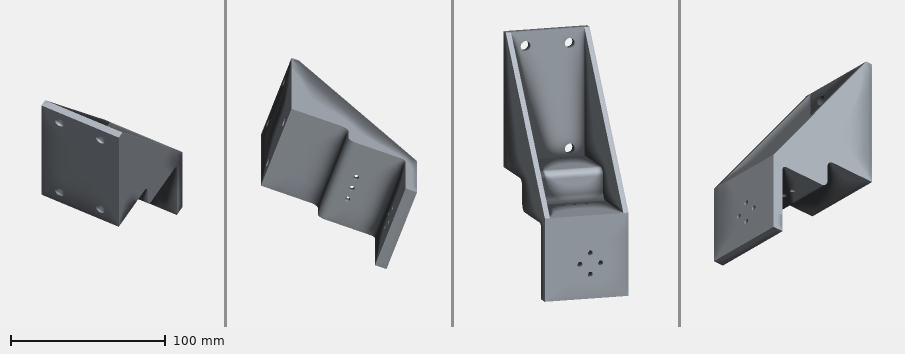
import cadquery as cq

width = 57.0
depth = 86.6
height = 161.0

wall = 5.0
riser_wall = 4.8
side_wall = 3.5
rear_plate = 7.9

lower_shelf_z = 50.2
upper_shelf_z = 71.0
riser_y = 39.3
step_radius = 5.0
rear_radius = 3.0

mount_hole_dia = 6.6
mount_spacing_x = 30.1
mount_spacing_z = 70.0
mount_top_margin = 9.8

rear_hole_dia = 3.4
rear_circle_radius = 7.1
rear_circle_x = -2.4
rear_circle_z = 23.2

shelf_hole_dia = 3.4
shelf_hole_pitch = 8.0
shelf_row_x = -2.1
shelf_row_y = 53.0

rear_inner_y = depth - rear_plate
rear_top_z = lower_shelf_z + wall


def extrude_across(profile, size):
    """Extrude a YZ profile by the given size, centred on X."""
    return profile.close().extrude(size / 2, both=True)


def fillet_along_x(body, y, z, radius):
    """Round the X-parallel edge that passes through (y, z)."""
    edge = cq.selectors.NearestToPointSelector((0, y, z))
    return body.edges("|X").edges(edge).fillet(radius)


body = extrude_across(
    cq.Workplane("YZ")
    .moveTo(0, upper_shelf_z)
    .lineTo(riser_y, upper_shelf_z)
    .lineTo(riser_y, lower_shelf_z)
    .lineTo(rear_inner_y, lower_shelf_z)
    .lineTo(rear_inner_y, 0)
    .lineTo(depth, 0)
    .lineTo(depth, rear_top_z)
    .lineTo(wall, height)
    .lineTo(0, height),
    width,
)
body = fillet_along_x(body, riser_y, upper_shelf_z, step_radius)
body = fillet_along_x(body, riser_y, lower_shelf_z, step_radius)
body = fillet_along_x(body, rear_inner_y, lower_shelf_z, rear_radius)

pocket_riser_y = riser_y + riser_wall
pocket_upper_z = upper_shelf_z + wall
pocket = extrude_across(
    cq.Workplane("YZ")
    .moveTo(wall, pocket_upper_z)
    .lineTo(pocket_riser_y, pocket_upper_z)
    .lineTo(pocket_riser_y, rear_top_z)
    .lineTo(depth, rear_top_z)
    .lineTo(depth, height)
    .lineTo(wall, height),
    width - 2 * side_wall,
)
pocket = fillet_along_x(pocket, pocket_riser_y, pocket_upper_z, step_radius)
pocket = fillet_along_x(pocket, pocket_riser_y, rear_top_z, step_radius)
body = body.cut(pocket)

mount_holes = (
    cq.Workplane("XZ")
    .center(0, height - mount_top_margin - mount_spacing_z / 2)
    .rect(mount_spacing_x, mount_spacing_z, forConstruction=True)
    .vertices()
    .circle(mount_hole_dia / 2)
    .extrude(-wall)
)

rear_holes = (
    cq.Workplane("XZ", origin=(0, rear_inner_y, 0))
    .center(rear_circle_x, rear_circle_z)
    .polarArray(rear_circle_radius, 0, 360, 4)
    .circle(rear_hole_dia / 2)
    .extrude(-rear_plate)
)

shelf_holes = (
    cq.Workplane("XY", origin=(shelf_row_x, shelf_row_y, lower_shelf_z))
    .rarray(shelf_hole_pitch, 1.6, 3, 1)
    .circle(shelf_hole_dia / 2)
    .extrude(wall)
)

result = body.cut(mount_holes).cut(rear_holes).cut(shelf_holes)